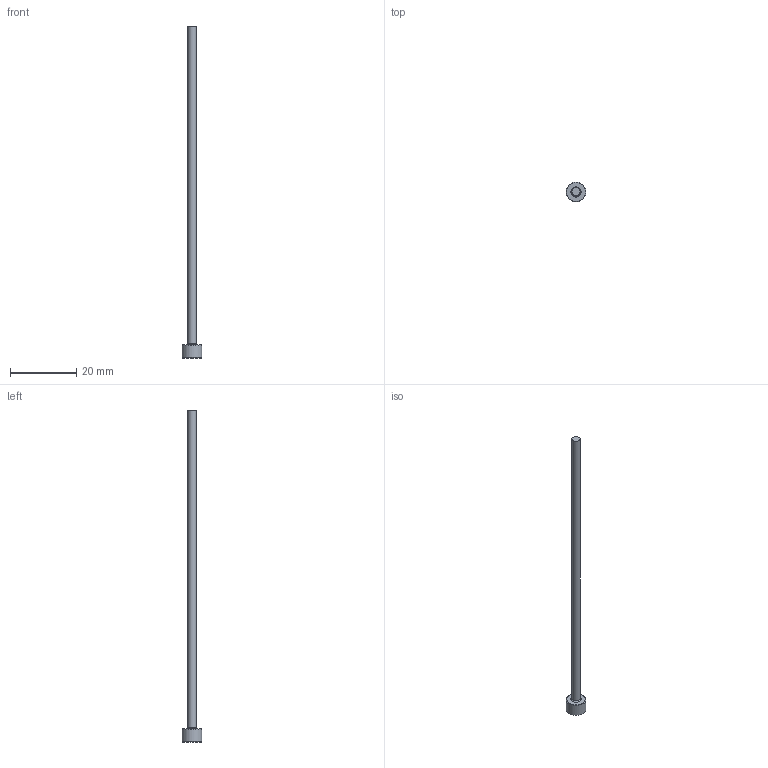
import cadquery as cq

total_length = 100.0
head_diameter = 6.0
head_height = 4.0
head_chamfer = 0.2
shank_diameter = 2.5
neck_fillet_radius = 0.3

head_radius = head_diameter / 2
shank_radius = shank_diameter / 2


def make_head():
    """Cylindrical head standing on Z = 0, both rims chamfered."""
    head = cq.Workplane("XY").circle(head_radius).extrude(head_height)
    return head.faces("<Z or >Z").edges().chamfer(head_chamfer)


def make_shank():
    """Plain shank on top of the head, flared by a fillet where it meets the head."""
    neck_top = head_height + neck_fillet_radius
    neck_radius = shank_radius + neck_fillet_radius
    half_profile = (
        cq.Workplane("XZ")
        .moveTo(0, head_height)
        .lineTo(neck_radius, head_height)
        .radiusArc((shank_radius, neck_top), neck_fillet_radius)
        .lineTo(shank_radius, total_length)
        .lineTo(0, total_length)
        .close()
    )
    return half_profile.revolve(360, (0, 0, 0), (0, 1, 0))


result = make_head().union(make_shank())